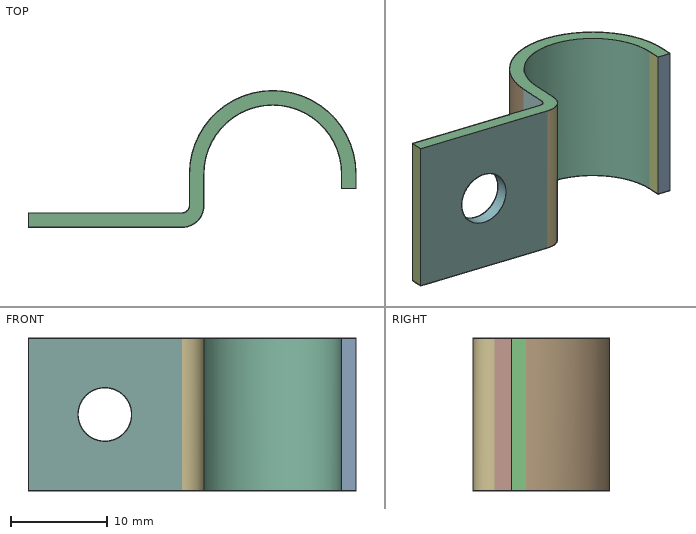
import cadquery as cq

overall_length = 34.04
overall_depth = 14.22
strip_width = 15.88
thickness = 1.52

saddle_outer_radius = 8.66
saddle_inner_radius = saddle_outer_radius - thickness
bend_inner_radius = 0.76
bend_outer_radius = bend_inner_radius + thickness
free_leg_length = 1.52
hole_diameter = 5.54

tab_end_x = saddle_outer_radius - overall_length
tab_front_y = saddle_outer_radius - overall_depth
tab_back_y = tab_front_y + thickness
bend_center_x = -saddle_outer_radius - bend_inner_radius
bend_center_y = tab_back_y + bend_inner_radius
hole_x = tab_end_x + strip_width / 2


def make_strip():
    """Flat tab, bend, riser, half-round saddle and short free leg at constant thickness."""
    return (
        cq.Workplane("XY")
        .workplane(offset=-strip_width / 2)
        .moveTo(tab_end_x, tab_front_y)
        .lineTo(bend_center_x, tab_front_y)
        .radiusArc((bend_center_x + bend_outer_radius, bend_center_y), -bend_outer_radius)
        .lineTo(-saddle_inner_radius, 0)
        .threePointArc((0, saddle_inner_radius), (saddle_inner_radius, 0))
        .lineTo(saddle_inner_radius, -free_leg_length)
        .lineTo(saddle_outer_radius, -free_leg_length)
        .lineTo(saddle_outer_radius, 0)
        .threePointArc((0, saddle_outer_radius), (-saddle_outer_radius, 0))
        .lineTo(-saddle_outer_radius, bend_center_y)
        .radiusArc((bend_center_x, tab_back_y), bend_inner_radius)
        .lineTo(tab_end_x, tab_back_y)
        .close()
        .extrude(strip_width)
    )


def make_screw_hole():
    """Cylinder through the tab, centred on the strip width and equally far from the tab end."""
    return (
        cq.Workplane("XZ", origin=(hole_x, tab_back_y, 0))
        .circle(hole_diameter / 2)
        .extrude(thickness)
    )


result = make_strip().cut(make_screw_hole())